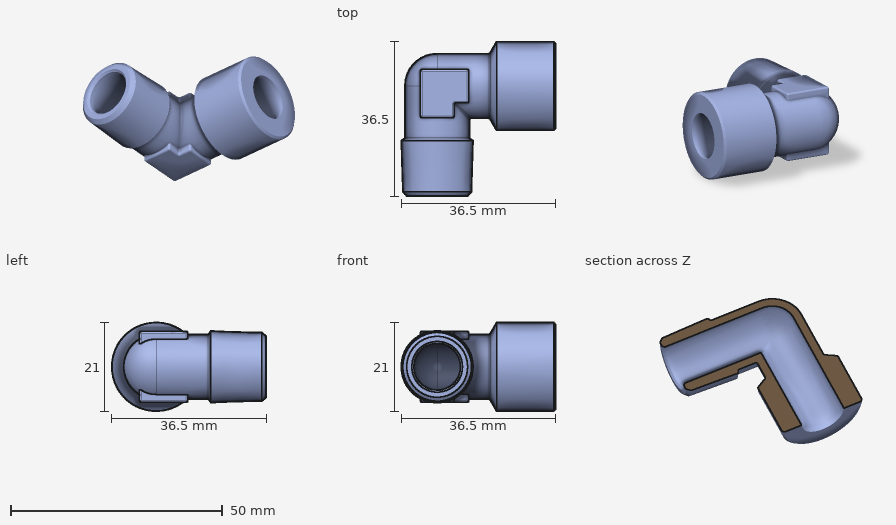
import cadquery as cq


body_radius = 7.65
bore_radius = 5.5

socket_radius = 10.5
socket_end = 28.0
socket_cone_start = 12.4
socket_cone_end = 14.05
socket_chamfer = 0.5

male_end = 26.0
male_shoulder_start = 12.4
male_shoulder_end = 12.9
male_large_radius = 8.5
taper_slope = 1 / 32
male_tip_length = 1.0
male_tip_radius = 7.2
bore_chamfer = 0.5

pad_height = 8.4
pad_outer = 3.95
pad_length = 7.5
pad_notch = 4.0
pad_fillet = 0.45

root_fillet = 0.4
crotch_fillet = 0.4
edge_search = 0.05


def revolve_branch(profile):
    """Revolve a list of (radius, distance) points around the -Y axis."""
    outline = [(radius, -distance) for radius, distance in profile]
    return cq.Workplane("XY").polyline(outline).close().revolve(360, (0, 0), (0, 1))


def turn_to_x(branch):
    """Swing a branch built along -Y so that it points along +X."""
    return branch.rotate((0, 0, 0), (0, 0, 1), 90)


def make_elbow(radius, male_length, socket_length):
    """Round elbow: two crossing cylinders closed by a ball at the bend."""
    male = cq.Workplane("XZ").circle(radius).extrude(male_length)
    socket = cq.Workplane("YZ").circle(radius).extrude(socket_length)
    return male.union(socket).union(cq.Workplane("XY").sphere(radius))


def make_socket():
    return turn_to_x(revolve_branch([
        (0, socket_cone_start),
        (body_radius, socket_cone_start),
        (socket_radius, socket_cone_end),
        (socket_radius, socket_end - socket_chamfer),
        (socket_radius - socket_chamfer, socket_end),
        (0, socket_end),
    ]))


def make_male():
    tip_start = male_end - male_tip_length
    male_small_radius = male_large_radius - taper_slope * (tip_start - male_shoulder_end)
    return revolve_branch([
        (0, male_shoulder_start),
        (body_radius, male_shoulder_start),
        (male_large_radius, male_shoulder_end),
        (male_small_radius, tip_start),
        (male_tip_radius, male_end),
        (0, male_end),
    ])


def make_pad():
    """One L-shaped pad, reaching from the mid-plane up to the top face."""
    outline = [
        (-pad_outer, pad_outer),
        (pad_length, pad_outer),
        (pad_length, -pad_notch),
        (pad_notch, -pad_notch),
        (pad_notch, -pad_length),
        (-pad_outer, -pad_length),
    ]
    pad = cq.Workplane("XY").polyline(outline).close().extrude(pad_height)
    return pad.edges("|Z").fillet(pad_fillet).faces(">Z").edges().fillet(pad_fillet)


def fillet_branch_roots(part):
    """Round the inside corners where each cone rises from the elbow body."""
    reach = body_radius + edge_search
    socket_root = cq.selectors.BoxSelector(
        (socket_cone_start - edge_search, -reach, -reach),
        (socket_cone_start + edge_search, reach, reach),
        boundingbox=True,
    )
    male_root = cq.selectors.BoxSelector(
        (-reach, -male_shoulder_start - edge_search, -reach),
        (reach, -male_shoulder_start + edge_search, reach),
        boundingbox=True,
    )
    return part.edges(socket_root).fillet(root_fillet).edges(male_root).fillet(root_fillet)


def fillet_crotch(part):
    """Round the inside corner between the branches, from pad to pad."""
    low = pad_notch - edge_search
    high = body_radius + edge_search
    crotch = cq.selectors.BoxSelector((low, -high, -high), (high, -low, high), boundingbox=True)
    return part.edges(crotch).edges("%ELLIPSE").fillet(crotch_fillet)


def make_bore():
    """Elbow passage through both branches, with a countersunk male mouth."""
    mouth = revolve_branch([
        (0, male_end - bore_chamfer),
        (bore_radius, male_end - bore_chamfer),
        (bore_radius + bore_chamfer, male_end),
        (0, male_end),
    ])
    return make_elbow(bore_radius, male_end, socket_end).union(mouth)


elbow = make_elbow(body_radius, male_shoulder_start, socket_cone_start)
fitting = fillet_branch_roots(elbow.union(make_socket()).union(make_male()))
pad = make_pad()
fitting = fitting.union(pad).union(pad.mirror("XY"))
fitting = fillet_crotch(fitting)
result = fitting.cut(make_bore())